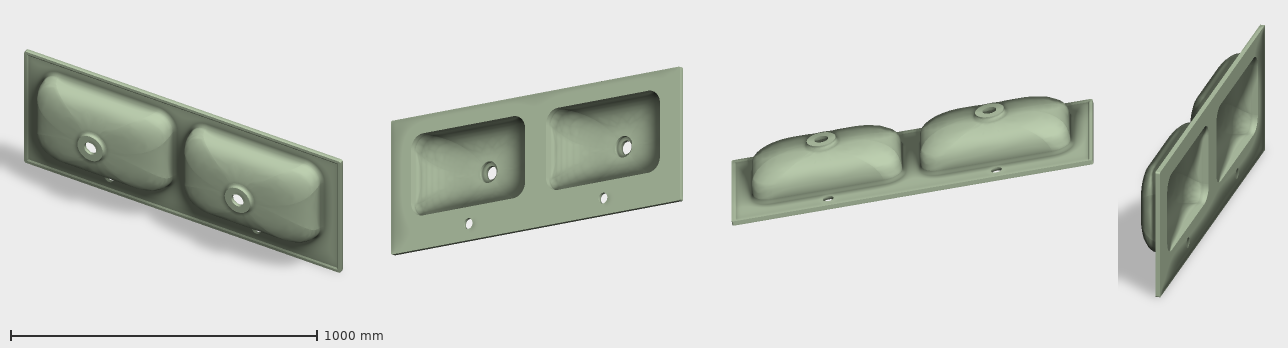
import cadquery as cq
import math

length = 1201.0
width = 450.0
corner_radius = 6.0
rim_thickness = 16.0
wall = 12.0
rim_width = 10.0
rim_slope_widths = (3.2, 2.2)

total_depth = 135.0
bowl_spacing = 560.0
bowl_offset_z = 25.0
mouth_length = 497.0
mouth_width = 300.0
mouth_corner_radius = 61.0
flare_radius = 11.0
collar_height = 11.4
mouth_depth = wall + collar_height
bowl_exponent = 3.0
section_count = 7
bottom_scale = 0.19
bottom_roundness = 0.9

flange_diameter = 96.0
flange_height = 13.0
flange_fillet = 10.0
drain_diameter = 46.0
tap_diameter = 36.0
tap_offset_z = -169.0

bowl_bottom = total_depth - flange_height
bowl_centers = (-bowl_spacing / 2, bowl_spacing / 2)


def plane_at(depth, center_x=0.0, center_z=0.0):
    """Work plane at a depth below the top face, facing away from it (-Y)."""
    return cq.Workplane("XZ", origin=(center_x, -depth, center_z))


def rounded_rect(size_x, size_z, radius):
    return cq.Sketch().rect(size_x, size_z).vertices().fillet(radius)


def make_panel():
    panel = plane_at(0).rect(length, width).extrude(rim_thickness).edges("|Y").fillet(corner_radius)
    step_height = (rim_thickness - wall) / len(rim_slope_widths)
    outer_inset = rim_width
    bottom_depth = rim_thickness
    for slope_width in rim_slope_widths:
        inner_inset = outer_inset + slope_width
        slope = (
            plane_at(bottom_depth - step_height)
            .rect(length - 2 * inner_inset, width - 2 * inner_inset)
            .workplane(offset=step_height)
            .rect(length - 2 * outer_inset, width - 2 * outer_inset)
            .loft(ruled=True)
        )
        panel = panel.cut(slope)
        outer_inset = inner_inset
        bottom_depth -= step_height
    return panel


def make_bowl(center_x, inset):
    """Solid bowl below the flare, shrunk by inset on every side.

    Its side profile is a superellipse; its sections grow rounder towards the bottom.
    """
    size_x = mouth_length - 2 * inset
    size_z = mouth_width - 2 * inset
    mouth_roundness = (mouth_corner_radius - inset) / (size_z / 2)
    curve_depth = bowl_bottom - inset - mouth_depth
    last_angle = math.acos(bottom_scale ** (bowl_exponent / 2))

    sections = []
    for index in range(section_count):
        fraction = index / (section_count - 1)
        angle = last_angle * fraction
        scale = math.cos(angle) ** (2 / bowl_exponent)
        drop = (math.sin(angle) / math.sin(last_angle)) ** (2 / bowl_exponent)
        roundness = mouth_roundness + (bottom_roundness - mouth_roundness) * fraction
        outline = rounded_rect(size_x * scale, size_z * scale, roundness * size_z * scale / 2)
        sections.append(outline.moved(cq.Location(cq.Vector(0, 0, curve_depth * drop))))
    return plane_at(mouth_depth, center_x, bowl_offset_z).placeSketch(*sections).loft()


def make_collar(center_x, inset):
    """Straight block from the top face down to the bowl mouth."""
    outline = rounded_rect(
        mouth_length - 2 * inset, mouth_width - 2 * inset, mouth_corner_radius - inset
    )
    return plane_at(0, center_x, bowl_offset_z).placeSketch(outline).extrude(mouth_depth)


def make_disc(center_x, diameter, top_depth, bottom_depth):
    """Cylinder on the drain axis between two depths."""
    return (
        plane_at(top_depth, center_x, bowl_offset_z)
        .circle(diameter / 2)
        .extrude(bottom_depth - top_depth)
    )


def edges_near(depth, center_x, size):
    """Selector for the edges around a bowl axis that stay close to one depth."""
    margin = wall / 4
    return cq.selectors.BoxSelector(
        (center_x - size / 2, -depth - margin, bowl_offset_z - size / 2),
        (center_x + size / 2, -depth + margin, bowl_offset_z + size / 2),
        boundingbox=True,
    )


def add_basin(body, center_x):
    body = body.union(make_collar(center_x, 0))
    body = body.edges(edges_near(wall, center_x, mouth_length + wall)).fillet(flare_radius)

    bowl = make_bowl(center_x, 0)
    flange = make_disc(center_x, flange_diameter, bowl_bottom - wall, total_depth)
    bowl = bowl.union(flange)
    bowl = bowl.edges(edges_near(bowl_bottom, center_x, flange_diameter + wall)).fillet(flange_fillet)
    return body.union(bowl)


def hollow_basin(body, center_x):
    """Open the basin from the top face, with a sunken drain seat and its hole."""
    body = body.cut(make_collar(center_x, wall)).cut(make_bowl(center_x, wall))
    body = body.cut(make_disc(center_x, flange_diameter - 2 * wall, mouth_depth, total_depth - wall))
    return body.cut(make_disc(center_x, drain_diameter, mouth_depth, total_depth))


def drill_tap_hole(body, center_x):
    hole = plane_at(0, center_x, tap_offset_z).circle(tap_diameter / 2).extrude(rim_thickness)
    return body.cut(hole)


result = make_panel()
for bowl_x in bowl_centers:
    result = add_basin(result, bowl_x)
    result = hollow_basin(result, bowl_x)
    result = drill_tap_hole(result, bowl_x)